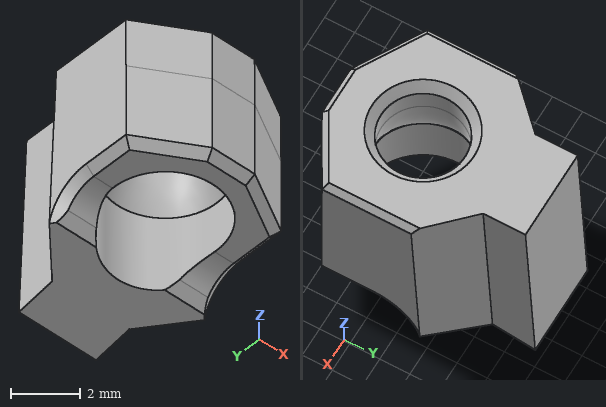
import cadquery as cq
import math

height = 5.0
half_width = 3.041
front_y = -2.9
front_half_width = 0.83
corner_y = front_y + (half_width - front_half_width) * math.tan(math.radians(30))

neck_half_width = 1.515
neck_corner_y = 2.865
shoulder_y = neck_corner_y - (half_width - neck_half_width)
tip_y = 4.6
tip_z = -1.5
rear_lean = 0.05
rear_top_y = tip_y - rear_lean * (height - tip_z)

top_chamfer = 0.195
bottom_chamfer = 0.3
draft_start_z = 3
draft_inset = 0.015

relief_start_y = 0.075
relief_radius = 1.3
relief_angle = math.radians(57)
ramp_slope = math.tan(math.radians(48))
foot_slope = math.tan(math.radians(10))

throat_radius = 1.395
countersink_depth = 0.3
flare_start_z = 3.97
flare_radius = 4.0
clearance_radius = 2.0

margin = 1.5
blank_back_y = tip_y + margin
blank_bottom_z = tip_z - margin

FRONT_OUTLINE = [
    (-half_width, corner_y),
    (-front_half_width, front_y),
    (front_half_width, front_y),
    (half_width, corner_y),
]


def draft_wedge(start, end):
    """Thin wedge on one front facet, thickening toward the top."""
    along = cq.Vector(end[0] - start[0], end[1] - start[1], 0)
    inward = cq.Vector(-along.y, along.x, 0)
    origin = cq.Vector(start[0], start[1], draft_start_z) - along.normalized() * margin
    rise = height - draft_start_z
    return (
        cq.Workplane(cq.Plane(origin=origin, xDir=inward, normal=along))
        .polyline([(0, 0), (draft_inset, rise), (-margin, rise), (-margin, 0)])
        .close()
        .extrude(along.Length + 2 * margin)
    )


def make_blank():
    """Faceted head joined to a full-width rear block, open toward the back."""
    outline = FRONT_OUTLINE + [(half_width, blank_back_y), (-half_width, blank_back_y)]
    head = cq.Workplane("XY").polyline(outline).close().extrude(height)
    head = head.faces("<Z").chamfer(bottom_chamfer)
    rear = cq.Workplane("XY").box(
        2 * half_width,
        blank_back_y - relief_start_y,
        height - blank_bottom_z,
        centered=(True, False, False),
    ).translate((0, relief_start_y, blank_bottom_z))
    blank = head.union(rear)
    for start, end in zip(FRONT_OUTLINE, FRONT_OUTLINE[1:]):
        blank = blank.cut(draft_wedge(start, end))
    return blank.clean().faces(">Z").chamfer(top_chamfer)


def rear_envelope():
    """Leaning volume that bounds the shoulders and the neck."""
    def outline(z):
        shift = rear_lean * (height - z)
        half = [
            (half_width, front_y - margin),
            (half_width, shoulder_y + shift),
            (neck_half_width, neck_corner_y + shift),
            (neck_half_width, rear_top_y + shift),
        ]
        mirrored = [(-x, y) for x, y in reversed(half)]
        points = [cq.Vector(x, y, z) for x, y in half + mirrored]
        return cq.Wire.makePolygon(points, close=True)

    return cq.Workplane(cq.Solid.makeLoft([outline(blank_bottom_z), outline(height)], True))


def underside_cut():
    """Space below the head, the curved relief and the sloping foot."""
    def arc_point(angle):
        return (
            relief_start_y + relief_radius * math.sin(angle),
            relief_radius * (math.cos(angle) - 1),
        )

    arc_end = arc_point(relief_angle)
    foot_z_at_arc = tip_z + foot_slope * (tip_y - arc_end[0])
    ramp_run = (arc_end[1] - foot_z_at_arc) / (ramp_slope - foot_slope)
    ramp_end = (arc_end[0] + ramp_run, arc_end[1] - ramp_slope * ramp_run)
    foot_back_z = tip_z - foot_slope * (blank_back_y - tip_y)
    return (
        cq.Workplane("YZ")
        .moveTo(front_y - margin, 0)
        .lineTo(relief_start_y, 0)
        .threePointArc(arc_point(relief_angle / 2), arc_end)
        .lineTo(*ramp_end)
        .lineTo(blank_back_y, foot_back_z)
        .lineTo(blank_back_y, blank_bottom_z)
        .lineTo(front_y - margin, blank_bottom_z)
        .close()
        .extrude(half_width + margin, both=True)
    )


def relief_chamfer(side):
    """Cone that continues the bottom chamfer around the relief on one side."""
    return cq.Workplane(cq.Solid.makeCone(
        relief_radius + bottom_chamfer,
        relief_radius,
        bottom_chamfer,
        pnt=cq.Vector(side * half_width, relief_start_y, -relief_radius),
        dir=cq.Vector(-side, 0, 0),
    ))


def screw_bore():
    """Revolved bore that flares out smoothly below its throat."""
    def flare_point(radius):
        inset = flare_radius - (radius - throat_radius)
        return radius, flare_start_z - math.sqrt(flare_radius**2 - inset**2)

    middle_radius = (throat_radius + clearance_radius) / 2
    return (
        cq.Workplane("XZ")
        .moveTo(0, height)
        .lineTo(throat_radius + countersink_depth, height)
        .lineTo(throat_radius, height - countersink_depth)
        .lineTo(throat_radius, flare_start_z)
        .threePointArc(flare_point(middle_radius), flare_point(clearance_radius))
        .lineTo(clearance_radius, blank_bottom_z)
        .lineTo(0, blank_bottom_z)
        .close()
        .revolve(360, (0, 0, 0), (0, 1, 0))
    )


part = make_blank().intersect(rear_envelope()).cut(underside_cut())
for side in (-1, 1):
    part = part.cut(relief_chamfer(side))
result = part.cut(screw_bore())